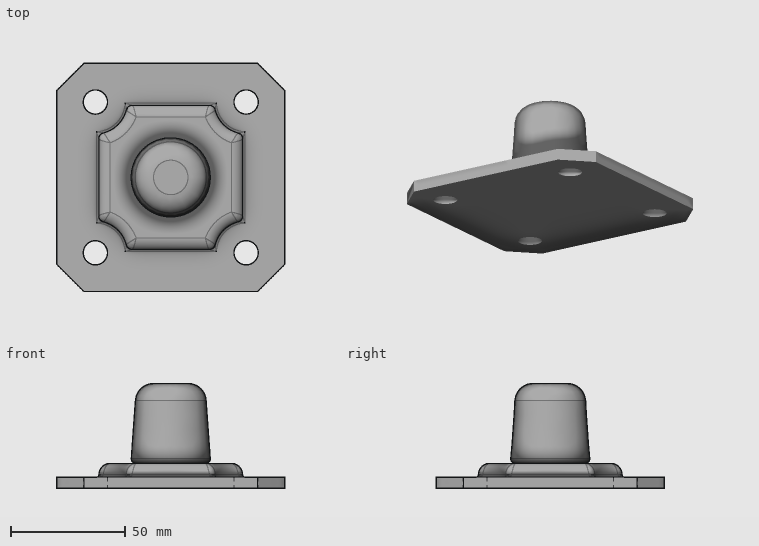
import cadquery as cq

plate_side = 100.0
plate_thickness = 5.0
plate_corner_chamfer = 12.0
hole_diameter = 10.5
hole_offset = 33.0

pad_side = 63.0
pad_height = 6.0
pad_top = plate_thickness + pad_height
pad_scoop_radius = 14.0
pad_corner_fillet = 2.5
pad_top_fillet = 5.0
wall_sliver = 0.01
pad_root_fillet = pad_height - pad_top_fillet - wall_sliver

total_height = 46.0
buffer_bottom_radius = 35.0 / 2
buffer_top_radius = 30.0 / 2
buffer_bottom_fillet = 2.0
buffer_top_fillet = 8.0

hole_centres = [(x, y) for x in (-hole_offset, hole_offset) for y in (-hole_offset, hole_offset)]


def pad_edge_box(bottom, top):
    """Select edges centred within the pad's square between two heights."""
    margin = 0.1
    reach = pad_side / 2 + margin
    return cq.selectors.BoxSelector(
        (-reach, -reach, bottom - margin),
        (reach, reach, top + margin),
    )


def make_pad():
    pad = cq.Workplane("XY", origin=(0, 0, plate_thickness)).rect(pad_side, pad_side).extrude(pad_height)
    scoops = (
        cq.Workplane("XY", origin=(0, 0, plate_thickness))
        .pushPoints(hole_centres)
        .circle(pad_scoop_radius)
        .extrude(pad_height)
    )
    return pad.cut(scoops)


def make_base():
    """Chamfered plate and its pad in one piece, with four through holes."""
    plate = (
        cq.Workplane("XY")
        .rect(plate_side, plate_side)
        .extrude(plate_thickness)
        .edges("|Z")
        .chamfer(plate_corner_chamfer)
    )
    base = plate.union(make_pad())

    base = base.edges(pad_edge_box(plate_thickness, plate_thickness)).fillet(pad_root_fillet)
    base = base.edges("|Z").edges(pad_edge_box(plate_thickness, pad_top)).fillet(pad_corner_fillet)
    base = base.edges(pad_edge_box(pad_top, pad_top)).fillet(pad_top_fillet)

    holes = cq.Workplane("XY").pushPoints(hole_centres).circle(hole_diameter / 2).extrude(plate_thickness)
    return base.cut(holes)


def make_buffer():
    """Truncated cone with a rounded foot and a domed top."""
    half_profile = [
        (0, pad_top),
        (buffer_bottom_radius, pad_top),
        (buffer_top_radius, total_height),
        (0, total_height),
    ]
    cone = cq.Workplane("XZ").polyline(half_profile).close().revolve(360, (0, 0), (0, 1))
    cone = cone.faces("<Z").edges().fillet(buffer_bottom_fillet)
    return cone.faces(">Z").edges().fillet(buffer_top_fillet)


base = make_base()
buffer = make_buffer()

result = cq.Compound.makeCompound([base.solids().val(), buffer.solids().val()])